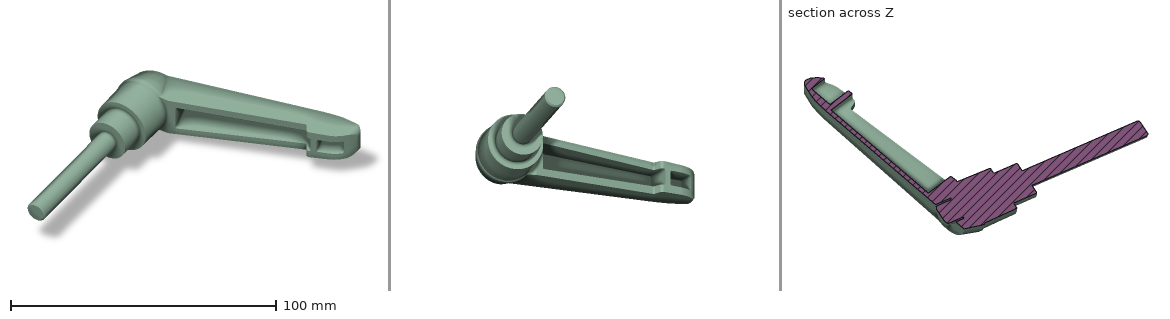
import cadquery as cq
import math

overall_length = 103.5
rod_radius = 8.0 / 2
rod_length = 50.0
rod_chamfer = 0.6
sleeve_radius = 16.0 / 2
sleeve_length = 10.0

skirt_bottom_radius = 10.8
skirt_top_radius = 11.1
rim_radius = 11.5
skirt_top = 24.0
rim_start = 24.5
rim_end = 25.7
cone_slope = 0.237
cone_height = 14.5

screw_radius = 4.8
screw_top = 37.2
screw_chamfer_height = 0.6
screw_chamfer_width = 1.6
hole_radius = 5.3
hole_floor = 30.0

lever_angle = 15.0
lever_slope = math.tan(math.radians(lever_angle))
axis_height = 35.0
lever_top = overall_length - rod_length
crest_start_x = 60.8
crest_end_x = 71.4
crest_middle = (66.0, 52.6)
tip_x = 80.0
tip_point = (tip_x, 49.9)
tip_round_middle = (79.6, 52.5)
tip_round_end = (77.6, lever_top - 0.1)
notch_root_start = (61.6, 42.0)
notch_root_middle = (62.1, 42.0)
notch_root_end = (62.5, 41.6)
nose_start = (63.9, 39.5)
nose_middle = (64.5, 39.0)
nose_end = (65.4, 39.0)
belly_start = (73.1, 41.8)
belly_middle = (77.5, 45.2)
root_x = 11.8
root_half_width = 8.0
tip_half_width = 5.6
tip_corner_radius = 2.4

pocket_start = (14.5, 24.9)
pocket_end = (65.9, 39.0)
pocket_start_half_width = 5.1
pocket_end_half_width = 3.1
pocket_roof = 1.9
tip_pocket_start = (68.1, 39.8)
tip_pocket_end = (77.2, 44.8)
tip_pocket_half_width = 2.9
tip_pocket_roof = 3.3
pocket_corner_radius = 0.6
cutter_size = 207.0


def slope_height(x):
    return axis_height + lever_slope * x


def cylinder(radius, start, end):
    """Cylinder on the clamping axis between two heights."""
    return cq.Workplane("XZ", origin=(0, start, 0)).circle(radius).extrude(start - end)


def make_hub():
    cone_top = rim_end + cone_height
    cone_top_radius = rim_radius - cone_slope * cone_height
    hub = (
        cq.Workplane("XY")
        .moveTo(0, sleeve_length)
        .lineTo(skirt_bottom_radius, sleeve_length)
        .lineTo(skirt_top_radius, skirt_top)
        .lineTo(rim_radius, rim_start)
        .lineTo(rim_radius, rim_end)
        .lineTo(cone_top_radius, cone_top)
        .lineTo(0, cone_top)
        .close()
        .revolve(360, (0, 0, 0), (0, 1, 0))
    )
    above_slope = (
        cq.Workplane("XY")
        .transformed(offset=(0, axis_height, 0), rotate=(0, 0, lever_angle))
        .box(cutter_size, cutter_size, cutter_size, centered=(True, False, True))
    )
    return hub.cut(above_slope)


def make_lever():
    profile = (
        cq.Workplane("XY")
        .moveTo(0, skirt_top)
        .lineTo(root_x, skirt_top)
        .lineTo(*notch_root_start)
        .threePointArc(notch_root_middle, notch_root_end)
        .lineTo(*nose_start)
        .threePointArc(nose_middle, nose_end)
        .lineTo(*belly_start)
        .threePointArc(belly_middle, tip_point)
        .threePointArc(tip_round_middle, tip_round_end)
        .lineTo(crest_end_x, lever_top)
        .threePointArc(crest_middle, (crest_start_x, slope_height(crest_start_x)))
        .lineTo(0, axis_height)
        .close()
        .extrude(rim_radius, both=True)
    )
    width_taper = (root_half_width - tip_half_width) / (tip_x - root_x)
    axis_half_width = root_half_width + width_taper * root_x
    outline = (
        cq.Workplane("XZ")
        .polyline([
            (0, -axis_half_width),
            (tip_x, -tip_half_width),
            (tip_x, tip_half_width),
            (0, axis_half_width),
        ])
        .close()
        .extrude(-cutter_size)
        .edges("|Y and >X")
        .fillet(tip_corner_radius)
    )
    return profile.intersect(outline)


def make_pocket(start, end, start_half_width, end_half_width, roof):
    """Tapered pocket square to the sloping top, stopping a roof thickness below it."""
    angle = math.radians(lever_angle)

    def along_slope(point):
        return point[0] * math.cos(angle) + (point[1] - axis_height) * math.sin(angle)

    floor = cq.Plane(
        origin=(roof * math.sin(angle), axis_height - roof * math.cos(angle), 0),
        xDir=(math.cos(angle), math.sin(angle), 0),
        normal=(math.sin(angle), -math.cos(angle), 0),
    )
    near = along_slope(start)
    far = along_slope(end)
    return (
        cq.Workplane(floor)
        .polyline([
            (near, -start_half_width),
            (far, -end_half_width),
            (far, end_half_width),
            (near, start_half_width),
        ])
        .close()
        .extrude(axis_height)
        .edges(cq.selectors.ParallelDirSelector(floor.zDir))
        .fillet(pocket_corner_radius)
    )


pocket = make_pocket(
    pocket_start, pocket_end, pocket_start_half_width, pocket_end_half_width, pocket_roof
)
tip_pocket = make_pocket(
    tip_pocket_start, tip_pocket_end, tip_pocket_half_width, tip_pocket_half_width, tip_pocket_roof
)
lever = make_lever().cut(pocket).cut(tip_pocket)

clearance_hole = cylinder(hole_radius, hole_floor, lever_top)
screw_cone_start = screw_top - screw_chamfer_height
screw_head = (
    cq.Workplane("XY")
    .moveTo(0, hole_floor)
    .lineTo(screw_radius, hole_floor)
    .lineTo(screw_radius, screw_cone_start)
    .lineTo(screw_radius - screw_chamfer_width, screw_top)
    .lineTo(0, screw_top)
    .close()
    .revolve(360, (0, 0, 0), (0, 1, 0))
)
sleeve = cylinder(sleeve_radius, 0, sleeve_length)
rod = cylinder(rod_radius, -rod_length, 0).faces("<Y").chamfer(rod_chamfer)

result = make_hub().union(lever).cut(clearance_hole).union(screw_head).union(sleeve).union(rod)